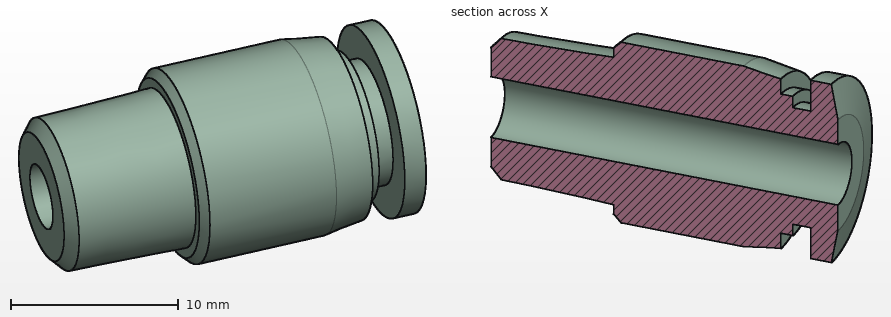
import cadquery as cq

total_length = 22.7
bore_radius = 2.0

stem_end_radius = 4.7
stem_root_radius = 4.9
stem_length = 8.01
stem_chamfer_length = 0.68
stem_face_radius = 3.95

body_diameter = 12.0
body_radius = body_diameter / 2
body_chamfer = 0.5
body_cylinder_end = 16.53
body_end = 18.98
body_end_radius = 5.63

collar_radius = 4.63
collar_end = 19.75
neck_radius = 3.88
flange_start = 20.9
flange_radius = 5.92
flange_cylinder_end = 22.27
button_face_radius = 3.68

result = (
    cq.Workplane("XY")
    .moveTo(bore_radius, 0)
    .lineTo(stem_face_radius, 0)
    .lineTo(stem_end_radius, stem_chamfer_length)
    .lineTo(stem_root_radius, stem_length)
    .lineTo(body_radius - body_chamfer, stem_length)
    .lineTo(body_radius, stem_length + body_chamfer)
    .lineTo(body_radius, body_cylinder_end)
    .lineTo(body_end_radius, body_end)
    .lineTo(collar_radius, body_end)
    .lineTo(collar_radius, collar_end)
    .lineTo(neck_radius, collar_end)
    .lineTo(neck_radius, flange_start)
    .lineTo(flange_radius, flange_start)
    .lineTo(flange_radius, flange_cylinder_end)
    .lineTo(button_face_radius, total_length)
    .lineTo(bore_radius, total_length)
    .close()
    .revolve(360, (0, 0, 0), (0, 1, 0))
)